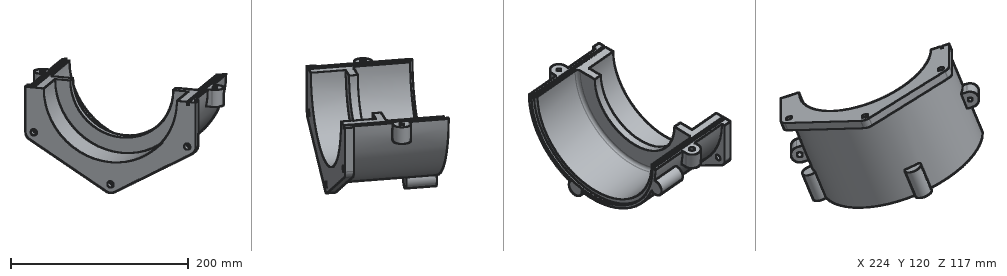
import cadquery as cq
import math

length = 120.0
shell_radius = 97.0

seat_radius = 79.0
seat_depth = 40.0
web_radius = 61.0
web_thickness = 10.0
cavity_radius = 87.5
cavity_fillet = 4.0
spigot_radius = 93.0
spigot_depth = 4.0

flange_thickness = 10.0
flange_hole_circle = 105.0
flange_corner_radius = 10.0
flange_hole_diameter = 7.0
flange_hole_angles = (210.0, 270.0, 330.0)

lug_x = 102.0
lug_y = 65.0
lug_radius = 10.0
lug_height = 20.0
large_hole_diameter = 6.5
small_hole_diameter = 5.0

boss_circle = 100.0
boss_radius = 10.0
boss_length = 35.0
boss_angles = (195.0, 285.0)

seal_x = 92.0
tongue_width = 2.0
tongue_height = 2.0
tongue_front_gap = 2.0
groove_width = 2.0
groove_depth = 3.5


def polar(radius, angle):
    """Point (x, z) at a radius and an angle in degrees from +X towards +Z."""
    radians = math.radians(angle)
    return radius * math.cos(radians), radius * math.sin(radians)


def cylinder_y(radius, y_start, y_end, center=(0.0, 0.0)):
    """Cylinder parallel to Y between two Y positions."""
    plane = cq.Workplane("XZ", origin=(0, y_start, 0))
    return plane.center(*center).circle(radius).extrude(y_start - y_end)


def block(x_center, width, y_start, y_end, z_bottom, z_top):
    """Box centred on x_center in X."""
    size = (width, y_end - y_start, z_top - z_bottom)
    box = cq.Workplane("XY").box(*size, centered=(True, False, False))
    return box.translate((x_center, y_start, z_bottom))


def flange():
    """Plate whose corners are concentric with the bolt holes."""
    side_x = polar(flange_hole_circle, flange_hole_angles[-1])[0]
    half_width = side_x + flange_corner_radius
    hole_spacing = flange_hole_angles[1] - flange_hole_angles[0]
    slope = math.radians(hole_spacing / 2)
    tip_z = -flange_hole_circle - flange_corner_radius / math.cos(slope)
    corner_z = tip_z + half_width * math.tan(slope)
    outline = [
        (-half_width, 0),
        (-half_width, corner_z),
        (0, tip_z),
        (half_width, corner_z),
        (half_width, 0),
    ]
    plate = cq.Workplane("XZ").polyline(outline).close().extrude(-flange_thickness)
    return plate.edges("|Y and (not >Z)").fillet(flange_corner_radius)


def lug(side):
    """Round-ended lug reaching in to the shell; side is -1 or +1."""
    round_end = cq.Workplane("XY").circle(lug_radius).extrude(-lug_height)
    round_end = round_end.translate((side * lug_x, lug_y, 0))
    root_length = lug_x - cavity_radius
    root_x = side * (lug_x - root_length / 2)
    root = block(root_x, root_length, lug_y - lug_radius, lug_y + lug_radius, -lug_height, 0)
    return round_end.union(root)


def lug_hole(side, diameter):
    """Vertical through hole of a lug."""
    hole = cq.Workplane("XY").circle(diameter / 2).extrude(-lug_height)
    return hole.translate((side * lug_x, lug_y, 0))


def bores():
    """Stepped interior: front seat, web opening, filleted cavity, rear spigot recess."""
    cavity_start = seat_depth + web_thickness
    cavity = cylinder_y(cavity_radius, cavity_start, length)
    cavity = cavity.faces("<Y").edges().fillet(cavity_fillet)
    seat = cylinder_y(seat_radius, 0, seat_depth)
    web_opening = cylinder_y(web_radius, 0, length)
    spigot = cylinder_y(spigot_radius, length - spigot_depth, length)
    return cavity.union(seat).union(web_opening).union(spigot)


body = cylinder_y(shell_radius, 0, length)
for angle in boss_angles:
    boss_center = polar(boss_circle, angle)
    body = body.union(cylinder_y(boss_radius, length - boss_length, length, boss_center))
body = body.cut(block(0, 2 * shell_radius, 0, length, 0, shell_radius))
body = body.union(flange())
for side in (-1, 1):
    body = body.union(lug(side))

body = body.cut(bores())
for angle in flange_hole_angles:
    hole_center = polar(flange_hole_circle, angle)
    body = body.cut(cylinder_y(flange_hole_diameter / 2, 0, flange_thickness, hole_center))
body = body.cut(lug_hole(-1, large_hole_diameter))
body = body.cut(lug_hole(1, small_hole_diameter))

body = body.cut(block(seal_x, groove_width, 0, length, -groove_depth, 0))
tongue_end = length - spigot_depth
tongue = block(-seal_x, tongue_width, tongue_front_gap, tongue_end, 0, tongue_height)
result = body.union(tongue)